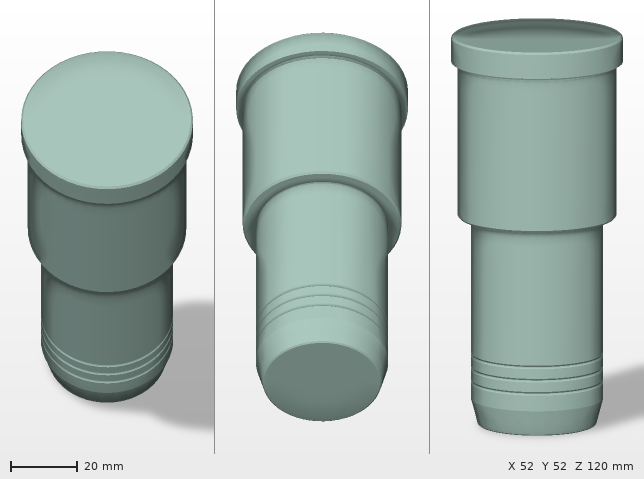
import cadquery as cq
import math

total_height = 120.0
flange_bottom = 112.0
body_bottom = 64.0
taper_height = 8.0

flange_diameter = 52.0
body_diameter = 48.0
pin_diameter = 40.1

edge_chamfer = 0.6
tip_chamfer = 0.4
taper_angle = 15.0

groove_count = 3
lowest_groove_center = 13.5
groove_pitch = 4.1
groove_width = 1.1
groove_depth = groove_width / 2

relief_height = 0.8
relief_depth = 0.2


def cylinder(diameter, bottom, top):
    return cq.Workplane("XY").workplane(offset=bottom).circle(diameter / 2).extrude(top - bottom)


def v_groove(diameter, center):
    """Ring cutter with a triangular section pointing inward from the given diameter."""
    radius = diameter / 2
    section = cq.Workplane("XZ").polyline([
        (radius, center - groove_width / 2),
        (radius, center + groove_width / 2),
        (radius - groove_depth, center),
    ]).close()
    return section.revolve(360, (0, 0, 0), (0, 1, 0))


def make_flange():
    flange = cylinder(flange_diameter, flange_bottom, total_height)
    return flange.faces(">Z").chamfer(edge_chamfer)


def make_body():
    body = cylinder(body_diameter, body_bottom, flange_bottom)
    body = body.faces("<Z").chamfer(edge_chamfer)
    return body.cut(v_groove(body_diameter, flange_bottom - groove_width / 2))


def make_pin():
    relief_bottom = body_bottom - relief_height
    taper_inset = taper_height * math.tan(math.radians(taper_angle))
    pin = cylinder(pin_diameter, 0, relief_bottom)
    pin = pin.faces("<Z").chamfer(taper_height, taper_inset)
    pin = pin.faces("<Z").chamfer(tip_chamfer)
    for index in range(groove_count):
        pin = pin.cut(v_groove(pin_diameter, lowest_groove_center + index * groove_pitch))
    return pin.union(cylinder(pin_diameter - 2 * relief_depth, relief_bottom, body_bottom))


result = make_flange().union(make_body()).union(make_pin())